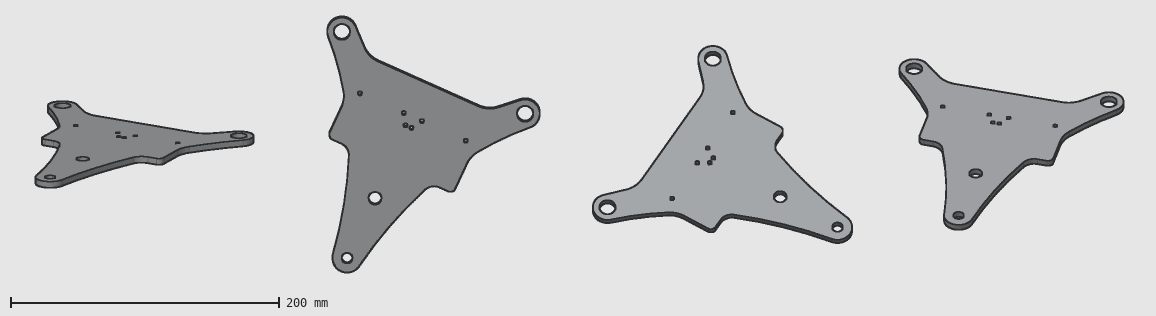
import cadquery as cq
import math

thickness = 5.0
lug_radius = 11.0
overall_width = 172.0
overall_length = 177.0
ear_x = overall_width / 2 - lug_radius
ear_y = overall_length - 2 * lug_radius

body_half_width = 51.5
body_top = 145.8
body_bottom = 77.5

ear_edge_angle = math.radians(43)
ear_flank_angle = math.radians(45.4)
ear_flank_radius = 223.0
tail_flank_angle = math.radians(8.9)
tail_flank_radius = 327.4

ear_fillet = 20.0
shoulder_fillet = 4.0
tail_fillet = 9.9

ear_hole_diameter = 12.0
middle_hole_diameter = 9.5
middle_hole_y = 50.0
tail_hole_diameter = 8.0
small_hole_diameter = 3.0
small_row_y = 118.0
small_row_outer_x = 43.4
small_row_inner_x = 7.5
small_pair_x = 2.5
small_pair_y = 110.0


def polar(center, radius, angle):
    return (center[0] + radius * math.cos(angle), center[1] + radius * math.sin(angle))


def arc_middle(center, radius, start, end):
    """Middle of the minor arc from start to end."""
    chord_x = (start[0] + end[0]) / 2 - center[0]
    chord_y = (start[1] + end[1]) / 2 - center[1]
    return polar(center, radius, math.atan2(chord_y, chord_x))


def make_left_half():
    ear = (-ear_x, ear_y)
    tail = (0, 0)

    edge_start = polar(ear, lug_radius, math.pi / 2 - ear_edge_angle)
    edge_run = (edge_start[1] - body_top) / math.tan(ear_edge_angle)
    top_corner = (edge_start[0] + edge_run, body_top)

    ear_normal = math.pi + ear_flank_angle
    ear_flank_start = polar(ear, lug_radius, ear_normal)
    ear_center = polar(ear, lug_radius + ear_flank_radius, ear_normal)
    ear_flank_dx = -body_half_width - ear_center[0]
    ear_flank_rise = math.sqrt(ear_flank_radius**2 - ear_flank_dx**2)
    side_corner = (-body_half_width, ear_center[1] + ear_flank_rise)

    tail_normal = math.pi + tail_flank_angle
    tail_flank_end = polar(tail, lug_radius, tail_normal)
    tail_center = polar(tail, lug_radius + tail_flank_radius, tail_normal)
    tail_flank_dy = body_bottom - tail_center[1]
    tail_flank_reach = math.sqrt(tail_flank_radius**2 - tail_flank_dy**2)
    tail_corner = (tail_center[0] + tail_flank_reach, body_bottom)

    shoulder_corner = (-body_half_width, body_bottom)
    ear_outer_angle = (math.pi / 2 - ear_edge_angle + ear_normal) / 2
    tail_outer_angle = (tail_normal + 3 * math.pi / 2) / 2

    half = (
        cq.Workplane("XY")
        .moveTo(0, body_top)
        .lineTo(*top_corner)
        .lineTo(*edge_start)
        .threePointArc(polar(ear, lug_radius, ear_outer_angle), ear_flank_start)
        .threePointArc(
            arc_middle(ear_center, ear_flank_radius, ear_flank_start, side_corner),
            side_corner,
        )
        .lineTo(*shoulder_corner)
        .lineTo(*tail_corner)
        .threePointArc(
            arc_middle(tail_center, tail_flank_radius, tail_corner, tail_flank_end),
            tail_flank_end,
        )
        .threePointArc(polar(tail, lug_radius, tail_outer_angle), (0, -lug_radius))
        .close()
        .extrude(thickness)
    )

    corner_fillets = [
        (top_corner, ear_fillet),
        (side_corner, ear_fillet),
        (shoulder_corner, shoulder_fillet),
        (tail_corner, tail_fillet),
    ]
    for corner, radius in corner_fillets:
        edge_middle = (corner[0], corner[1], thickness / 2)
        half = half.edges("|Z").edges(cq.NearestToPointSelector(edge_middle)).fillet(radius)
    return half


def drill(plate, points, diameter):
    cutter = cq.Workplane("XY").pushPoints(points).circle(diameter / 2).extrude(thickness)
    return plate.cut(cutter)


left_half = make_left_half()
plate = left_half.union(left_half.mirror("YZ")).clean()

plate = drill(plate, [(0, 0)], tail_hole_diameter)
plate = drill(plate, [(0, middle_hole_y)], middle_hole_diameter)
for side in (-1, 1):
    plate = drill(plate, [(side * ear_x, ear_y)], ear_hole_diameter)
    small_holes = [
        (side * small_row_outer_x, small_row_y),
        (side * small_row_inner_x, small_row_y),
        (side * small_pair_x, small_pair_y),
    ]
    plate = drill(plate, small_holes, small_hole_diameter)

result = plate